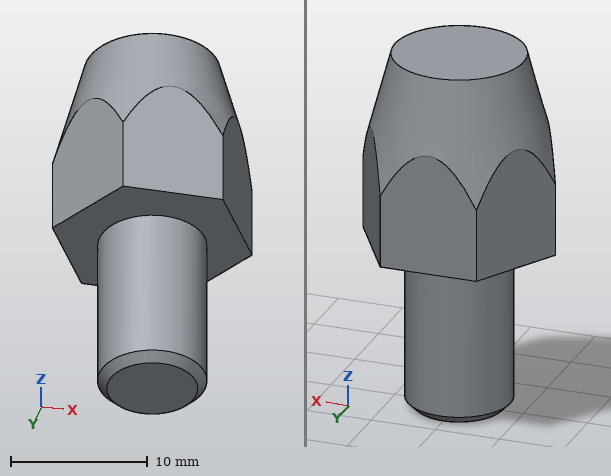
import cadquery as cq
import math

side_count = 6
across_flats = 13.0
corner_diameter = 15.0
head_height = 15.0
top_diameter = 10.0
taper_angle = 15.0

stud_diameter = 8.0
stud_length = 13.0
end_diameter = 6.65
neck_chamfer_height = 0.4
tip_chamfer_height = (stud_diameter - end_diameter) / 2

top_radius = top_diameter / 2
corner_radius = corner_diameter / 2
taper_height = (corner_radius - top_radius) / math.tan(math.radians(taper_angle))


def revolve_profile(points):
    """Revolve a closed (radius, height) outline about the Z axis."""
    return cq.Workplane("XZ").polyline(points).close().revolve(360, (0, 0), (0, 1))


def make_head():
    """Hexagonal prism with corners on the X axis, tapered to a flat round top."""
    sharp_corner_diameter = across_flats / math.cos(math.pi / side_count)
    prism = cq.Workplane("XY").polygon(side_count, sharp_corner_diameter).extrude(head_height)
    envelope = revolve_profile([
        (0, 0),
        (corner_radius, 0),
        (corner_radius, head_height - taper_height),
        (top_radius, head_height),
        (0, head_height),
    ])
    return prism.intersect(envelope)


def make_stud():
    """Round stud with a chamfer under the head and another at its tip."""
    stud_radius = stud_diameter / 2
    end_radius = end_diameter / 2
    return revolve_profile([
        (0, 0),
        (end_radius, 0),
        (stud_radius, -neck_chamfer_height),
        (stud_radius, tip_chamfer_height - stud_length),
        (end_radius, -stud_length),
        (0, -stud_length),
    ])


result = make_head().union(make_stud())